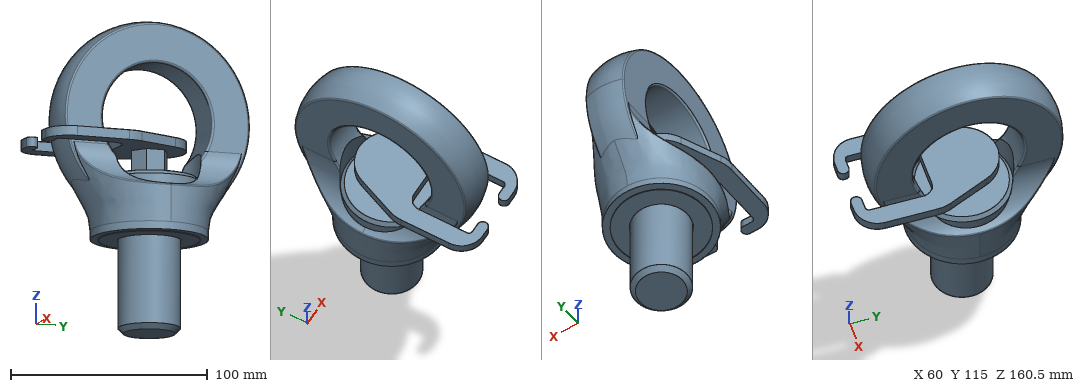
import cadquery as cq
import math


TOTAL_HEIGHT = 160.5

RING_RADIUS = 52.2
WINDOW_RADIUS = 29.9
RING_HALF_WIDTH = 11.7
CROWN_RADIUS = 33.7
RING_TOP = 111.9
RING_CENTER_Z = RING_TOP - RING_RADIUS
RIM_FILLET = 1.0
WINDOW_FILLET = 1.1

BASE_RADIUS = 30.0
BASE_HEIGHT = 4.0
FLANK_RADIUS = 22.1
FLANK_CENTER_Z = 45.5
FLARE_ANGLE = math.radians(33.0)
NECK_SECTIONS = 9
NECK_INSET = 0.2
FLANK_FILLET = 0.6
WINDOW_EDGE_REACH = 17.7
EDGE_MARGIN = 0.2
PAD_RADIUS = 26.0
PAD_HEIGHT = 0.5
SEAT_FLOOR = 12.8
CLEARANCE = 0.3

HEAD_RADIUS = 26.0
HEAD_TOP = 31.5
HEAD_CHAMFER = 2.0
SHANK_RADIUS = 15.9
SHANK_BOTTOM = RING_TOP - TOTAL_HEIGHT
SHANK_CHAMFER = 2.7

HEX_CORNER_DIAMETER = 19.6
KEY_BOTTOM = 45.3
KEY_THICKNESS = 5.0
NOSE_RADIUS = 19.0
TAPER_ANGLE = math.radians(23.0)
KEY_HALF_WIDTH = 28.2
KEY_END_Y = -62.8
SLOT_HALF_WIDTH = 18.1
SLOT_TOP_Y = -19.7
HOOK_WIDTH = 6.0
HOOK_TIP_X = 7.9
SHOULDER_FILLET = 19.3
HOOK_OUTER_FILLET = 12.5
HOOK_INNER_FILLET = 2.0
SLOT_FILLET = 7.0


def neck_half_length(z):
    """Half length of the neck along Y: concave arc, tangent line, then a circle inside the ring."""
    cos_a = math.cos(FLARE_ANGLE)
    sin_a = math.sin(FLARE_ANGLE)
    circle_radius = RING_RADIUS - NECK_INSET
    arc_radius = (
        BASE_RADIUS * cos_a + (RING_CENTER_Z - BASE_HEIGHT) * sin_a - circle_radius
    ) / (1 - cos_a)
    if z < BASE_HEIGHT + arc_radius * sin_a:
        return BASE_RADIUS + arc_radius - math.sqrt(arc_radius**2 - (z - BASE_HEIGHT) ** 2)
    drop = RING_CENTER_Z - z
    if drop > circle_radius * sin_a:
        return (circle_radius - drop * sin_a) / cos_a
    return math.sqrt(circle_radius**2 - drop**2)


def make_cylinder(radius, bottom, top):
    """Cylinder on the bolt axis."""
    return cq.Workplane("XY").workplane(offset=bottom).circle(radius).extrude(top - bottom)


def make_ring():
    """Crowned ring, turned about an X-parallel axis through the window's centre."""
    crown_drop = CROWN_RADIUS - math.sqrt(CROWN_RADIUS**2 - RING_HALF_WIDTH**2)
    rim_edge = RING_RADIUS - crown_drop
    ring = (
        cq.Workplane("XY")
        .moveTo(-RING_HALF_WIDTH, WINDOW_RADIUS)
        .lineTo(-RING_HALF_WIDTH, rim_edge)
        .threePointArc((0, RING_RADIUS), (RING_HALF_WIDTH, rim_edge))
        .lineTo(RING_HALF_WIDTH, WINDOW_RADIUS)
        .close()
        .revolve(360, (0, 0, 0), (1, 0, 0))
    )
    middle_radius = (WINDOW_RADIUS + rim_edge) / 2
    window_box = cq.selectors.BoxSelector(
        (-RING_RADIUS, -middle_radius, -middle_radius),
        (RING_RADIUS, middle_radius, middle_radius),
        boundingbox=True,
    )
    window_edges = cq.selectors.AndSelector(window_box, cq.selectors.TypeSelector("CIRCLE"))
    rim_edges = cq.selectors.SubtractSelector(cq.selectors.TypeSelector("CIRCLE"), window_box)
    ring = ring.edges(rim_edges).fillet(RIM_FILLET).edges(window_edges).fillet(WINDOW_FILLET)
    return ring.translate((0, 0, RING_CENTER_Z))


def flank_edges():
    """Selects edges centred between the bottom and the top of the concave flanks."""
    return cq.selectors.BoxSelector(
        (-BASE_RADIUS, -RING_RADIUS, FLANK_CENTER_Z - FLANK_RADIUS + EDGE_MARGIN),
        (BASE_RADIUS, RING_RADIUS, FLANK_CENTER_Z - EDGE_MARGIN),
    )


def window_flank_edges():
    """Selects the curved edges, near the bolt axis, where the window meets the flanks."""
    near_axis = cq.selectors.BoxSelector(
        (-WINDOW_EDGE_REACH, -WINDOW_EDGE_REACH, FLANK_CENTER_Z - FLANK_RADIUS + EDGE_MARGIN),
        (WINDOW_EDGE_REACH, WINDOW_EDGE_REACH, FLANK_CENTER_Z - EDGE_MARGIN),
    )
    return cq.selectors.AndSelector(near_axis, cq.selectors.TypeSelector("BSPLINE"))


def make_neck():
    """Round base flaring into elliptical sections, hollowed by concave flanks and the window."""
    step = (FLANK_CENTER_Z - BASE_HEIGHT) / (NECK_SECTIONS - 1)
    sections = cq.Workplane("XY").workplane(offset=BASE_HEIGHT)
    for i in range(NECK_SECTIONS):
        if i > 0:
            sections = sections.workplane(offset=step)
        sections = sections.ellipse(BASE_RADIUS, neck_half_length(BASE_HEIGHT + i * step))
    neck = sections.loft(combine=True).union(make_cylinder(BASE_RADIUS, 0, BASE_HEIGHT))

    for side in (-1, 1):
        flank = (
            cq.Workplane("XZ")
            .center(side * (RING_HALF_WIDTH + FLANK_RADIUS), FLANK_CENTER_Z)
            .circle(FLANK_RADIUS)
            .extrude(RING_RADIUS, both=True)
        )
        neck = neck.cut(flank)
    neck = neck.edges(flank_edges()).fillet(FLANK_FILLET)

    window = (
        cq.Workplane("YZ")
        .center(0, RING_CENTER_Z)
        .circle(WINDOW_RADIUS)
        .extrude(BASE_RADIUS, both=True)
    )
    neck = neck.cut(window)
    return neck.edges(window_flank_edges()).fillet(WINDOW_FILLET)


def make_eye():
    """Ring on its flared neck, counterbored from above for the bolt head."""
    pad = make_cylinder(PAD_RADIUS, -PAD_HEIGHT, 0)
    head_seat = make_cylinder(HEAD_RADIUS + CLEARANCE, SEAT_FLOOR, RING_CENTER_Z)
    shank_hole = make_cylinder(SHANK_RADIUS + CLEARANCE, -PAD_HEIGHT, SEAT_FLOOR)
    return make_neck().union(make_ring()).union(pad).cut(head_seat).cut(shank_hole)


def make_key_plate():
    """Flat fork: round nose, tapered sides and two arms with inward hooks."""
    tangent_x = NOSE_RADIUS * math.cos(TAPER_ANGLE)
    tangent_y = NOSE_RADIUS * math.sin(TAPER_ANGLE)
    shoulder_y = tangent_y - (KEY_HALF_WIDTH - tangent_x) / math.tan(TAPER_ANGLE)
    hook_y = KEY_END_Y + HOOK_WIDTH
    hook_round_x = HOOK_TIP_X + HOOK_WIDTH / 2
    hook_middle_y = KEY_END_Y + HOOK_WIDTH / 2
    plate = (
        cq.Workplane("XY")
        .workplane(offset=KEY_BOTTOM)
        .moveTo(-tangent_x, tangent_y)
        .threePointArc((0, NOSE_RADIUS), (tangent_x, tangent_y))
        .lineTo(KEY_HALF_WIDTH, shoulder_y)
        .lineTo(KEY_HALF_WIDTH, KEY_END_Y)
        .lineTo(hook_round_x, KEY_END_Y)
        .threePointArc((HOOK_TIP_X, hook_middle_y), (hook_round_x, hook_y))
        .lineTo(SLOT_HALF_WIDTH, hook_y)
        .lineTo(SLOT_HALF_WIDTH, SLOT_TOP_Y)
        .lineTo(-SLOT_HALF_WIDTH, SLOT_TOP_Y)
        .lineTo(-SLOT_HALF_WIDTH, hook_y)
        .lineTo(-hook_round_x, hook_y)
        .threePointArc((-HOOK_TIP_X, hook_middle_y), (-hook_round_x, KEY_END_Y))
        .lineTo(-KEY_HALF_WIDTH, KEY_END_Y)
        .lineTo(-KEY_HALF_WIDTH, shoulder_y)
        .close()
        .extrude(KEY_THICKNESS)
    )
    corner_fillets = [
        (KEY_HALF_WIDTH, shoulder_y, SHOULDER_FILLET),
        (KEY_HALF_WIDTH, KEY_END_Y, HOOK_OUTER_FILLET),
        (SLOT_HALF_WIDTH, hook_y, HOOK_INNER_FILLET),
        (SLOT_HALF_WIDTH, SLOT_TOP_Y, SLOT_FILLET),
    ]
    middle_z = KEY_BOTTOM + KEY_THICKNESS / 2
    for x, y, radius in corner_fillets:
        for side in (-1, 1):
            corner = cq.selectors.NearestToPointSelector((side * x, y, middle_z))
            plate = plate.edges("|Z").edges(corner).fillet(radius)
    return plate


def make_bolt():
    """Shank and round head, carrying the key plate on a hexagonal post."""
    shank = make_cylinder(SHANK_RADIUS, SHANK_BOTTOM, SEAT_FLOOR).faces("<Z").chamfer(SHANK_CHAMFER)
    head = make_cylinder(HEAD_RADIUS, SEAT_FLOOR, HEAD_TOP).faces(">Z").chamfer(HEAD_CHAMFER)
    post = (
        cq.Workplane("XY")
        .workplane(offset=HEAD_TOP)
        .transformed(rotate=(0, 0, 90))
        .polygon(6, HEX_CORNER_DIAMETER)
        .extrude(KEY_BOTTOM - HEAD_TOP)
    )
    return shank.union(head).union(post).union(make_key_plate())


eye = make_eye()
bolt = make_bolt()

result = cq.Compound.makeCompound([eye.val(), bolt.val()])